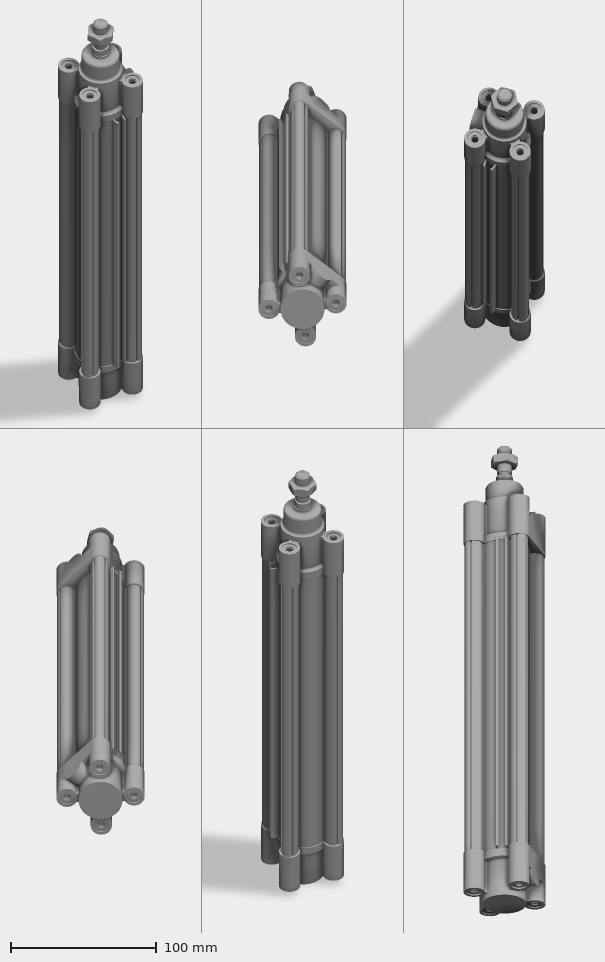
import cadquery as cq
import math

total_length = 346.5
overall_width = 47.0
collar_height = 4.0
cap_height = 29.8
nose_height = 14.5
front_post_top = 298.5
rear_barrel_end = collar_height + cap_height
front_barrel_end = front_post_top - cap_height
collar_top = front_post_top + collar_height
nose_top = collar_top + nose_height

post_spacing = 32.5
post_diameter = overall_width - post_spacing
post_offset = post_spacing / 2
post_radial_distance = post_offset * math.sqrt(2)
post_web_width = 7.0
recess_steps = [(10.5, 1.0), (5.5, 2.0), (5.0, 14.0)]

collar_diameter = 30.0
flange_diameter = 36.0
flange_height = 6.5
flange_slope = 1.0
nose_diameter = 26.0
nose_fillet = 2.0

port_diameter = 16.5
port_x = 2.8
port_height = 15.5
port_block_inner_y = 9.5
port_face = overall_width / 2

bore_diameter = 32.0
tube_diameter = 34.5
lobe_diameter = 12.0
lobe_corner_diameter = 8.3
lobe_web_width = 7.0
slit_width = 1.5
slit_depth = 1.5
slit_offset = 16.5
fin_y = 8.3
fin_thickness = 1.0
fin_reach = 21.5
lip_outline = [(16.3, 0.7), (19.5, 0.7), (22.5, 1.7), (22.5, 3.5), (19.5, 1.7), (16.3, 1.7)]

rod_diameter = 12.0
shank_diameter = 11.5
thread_diameter = 10.0
thread_bottom = 326.7
thread_chamfer = 1.5
neck_diameter = 8.5
neck_bottom = 324.0
flats_bottom = 318.8
flats_width = 10.0

nut_across_flats = 17.0
nut_height = 6.2
nut_bottom = 332.5
nut_chamfer_angle = 30.0

corners = [(sx * post_offset, sy * post_offset) for sx in (-1, 1) for sy in (-1, 1)]


def cylinder(diameter, bottom, top):
    return cq.Workplane("XY").workplane(offset=bottom).circle(diameter / 2).extrude(top - bottom)


def diagonal_webs(width, height):
    """Two crossed bars joining opposite corners."""
    web = cq.Workplane("XY").rect(2 * post_radial_distance, width).extrude(height)
    return web.rotate((0, 0, 0), (0, 0, 1), 45).union(web.rotate((0, 0, 0), (0, 0, 1), -45))


def make_cap():
    """End cap standing on its barrel face at Z = 0, collar upward."""
    shoulder_width = (flange_diameter - collar_diameter) / 2
    flange = cylinder(flange_diameter, 0, flange_height).faces(">Z").chamfer(flange_slope, shoulder_width)
    core = flange.union(cylinder(collar_diameter, 0, cap_height + collar_height))

    posts = cq.Workplane("XY").pushPoints(corners).circle(post_diameter / 2).extrude(cap_height)
    cap = core.union(diagonal_webs(post_web_width, cap_height)).union(posts)

    port_plate = cq.Workplane("XY", origin=(0, port_block_inner_y, 0)).box(
        post_spacing, port_face - port_block_inner_y, port_height, centered=(True, False, False))
    port_boss = cq.Workplane("XZ", origin=(port_x, 0, port_height))
    port_boss = port_boss.circle(port_diameter / 2).extrude(-port_face)
    cap = cap.union(port_plate).union(port_boss)

    for diameter, depth in recess_steps:
        recess = cq.Workplane("XY").workplane(offset=cap_height - depth)
        cap = cap.cut(recess.pushPoints(corners).circle(diameter / 2).extrude(depth))
    return cap


def make_front_cap():
    cap = make_cap().translate((0, 0, front_barrel_end))
    nose_radius = nose_diameter / 2
    nose = cylinder(nose_diameter, collar_top, nose_top).faces(">Z").edges().fillet(nose_fillet)
    foot_profile = cq.Workplane("XZ").moveTo(0, collar_top).lineTo(nose_radius + nose_fillet, collar_top)
    foot_profile = foot_profile.radiusArc((nose_radius, collar_top + nose_fillet), nose_fillet)
    foot = foot_profile.lineTo(0, collar_top + nose_fillet).close().revolve()
    return cap.union(nose).union(foot).cut(cylinder(rod_diameter, front_barrel_end, nose_top))


def make_rear_cap():
    return make_cap().mirror("XY").translate((0, 0, rear_barrel_end))


def make_barrel():
    length = front_barrel_end - rear_barrel_end
    plane = cq.Workplane("XY")
    lobe_reach = post_offset + lobe_diameter / 2
    lobes = plane.pushPoints(corners).circle(lobe_diameter / 2).extrude(length)
    corner_offset = lobe_reach - lobe_corner_diameter / 2
    lobe_corners = plane.rect(2 * corner_offset, 2 * corner_offset, forConstruction=True).vertices()
    lobes = lobes.union(lobe_corners.circle(lobe_corner_diameter / 2).extrude(length))
    lobe_webs = diagonal_webs(lobe_web_width, length)
    barrel = cylinder(tube_diameter, 0, length).union(lobe_webs).union(lobes)

    for side in (-1, 1):
        for offset in (-slit_offset, slit_offset):
            edge = side * lobe_reach
            barrel = barrel.cut(plane.center(offset, edge).rect(slit_width, 2 * slit_depth).extrude(length))
            barrel = barrel.cut(plane.center(edge, offset).rect(2 * slit_depth, slit_width).extrude(length))

    fin = plane.center(fin_reach / 2, fin_y).rect(fin_reach, fin_thickness).extrude(length)
    lip = plane.polyline(lip_outline).close().extrude(length)
    rail = fin.union(lip)
    barrel = barrel.union(rail).union(rail.mirror("YZ"))
    return barrel.cut(cylinder(bore_diameter, 0, length)).translate((0, 0, rear_barrel_end))


def make_rod():
    rod = cylinder(rod_diameter, front_barrel_end, flats_bottom)
    shank = cylinder(shank_diameter, flats_bottom, neck_bottom)
    flat_core = cq.Workplane("XY").workplane(offset=flats_bottom)
    flat_core = flat_core.rect(flats_width, rod_diameter).extrude(neck_bottom - flats_bottom)
    shank = shank.intersect(flat_core)
    neck = cylinder(neck_diameter, neck_bottom, thread_bottom)
    thread = cylinder(thread_diameter, thread_bottom, total_length).faces(">Z").chamfer(thread_chamfer)
    return rod.union(shank).union(neck).union(thread)


def make_nut():
    """Hexagon nut with corners on the Y axis and conically chamfered faces."""
    corner_radius = nut_across_flats / math.sqrt(3)
    chamfer_height = (corner_radius - nut_across_flats / 2) * math.tan(math.radians(nut_chamfer_angle))
    hexagon = cq.Workplane("XY").polygon(6, 2 * corner_radius).extrude(nut_height)
    hexagon = hexagon.rotate((0, 0, 0), (0, 0, 1), 90)
    turned = cylinder(2 * corner_radius, 0, nut_height).edges().chamfer(
        chamfer_height, corner_radius - nut_across_flats / 2)
    nut = hexagon.intersect(turned).cut(cylinder(thread_diameter, 0, nut_height))
    return nut.translate((0, 0, nut_bottom))


barrel = make_barrel()
front_cap = make_front_cap()
rear_cap = make_rear_cap()
piston_rod = make_rod()
lock_nut = make_nut()

result = cq.Compound.makeCompound(
    [barrel.val(), front_cap.val(), rear_cap.val(), piston_rod.val(), lock_nut.val()])